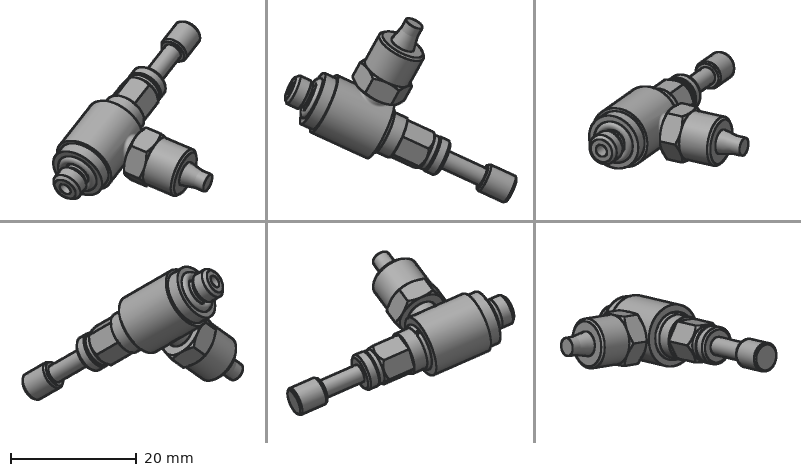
import cadquery as cq
import math

HEX_CORNER_RATIO = 2 / math.sqrt(3)

barrel_diameter = 10.0
barrel_length = 10.0
barrel_top = 3.55
barrel_bottom = barrel_top - barrel_length
journal_diameter = 7.0

branch_neck_diameter = 5.0
branch_neck_fillet = 0.35
nut_start = 5.9
nut_length = 3.55
nut_flats = 8.0
nut_chamfer = 0.4
sleeve_diameter = nut_flats
sleeve_end = 14.88
sleeve_chamfer = 0.4
nozzle_root_diameter = 4.0
nozzle_tip_diameter = 3.0
nozzle_taper_end = 17.35
overall_width = 24.0
branch_end = overall_width - barrel_diameter / 2
tip_chamfer_length = 0.25
tip_chamfer_depth = 0.05

total_length = 39.25
stem_bottom = -12.5
stem_top = stem_bottom + total_length
thread_diameter = 5.0
thread_chamfer = 0.55
thread_shoulder = -10.05
relief_diameter = 3.92
relief_end = -9.45
port_diameter = 2.0
flange_diameter = 9.0
flange_bottom = -8.5
seal_outer_diameter = 7.0
seal_radius = 0.7
hex_start = 6.65
hex_end = 11.8
hex_flats = 6.0
hex_chamfer = 0.55
gland_neck_diameter = 5.8
gland_start = 12.65
gland_end = 14.68
gland_diameter = hex_flats
gland_lower_chamfer = 0.25
gland_upper_chamfer = 0.35
spindle_diameter = 3.0
knob_length = 5.02
knob_start = stem_top - knob_length
knob_diameter = 4.65
knob_chamfer_depth = 0.25
knob_lower_chamfer = 0.4
knob_upper_chamfer = 0.27

snap_ring_radius = 0.4
snap_ring_center = barrel_top + snap_ring_radius
snap_ring_gap = 0.47


def revolve_about_y(points):
    """Solid of revolution about Y from (radius, y) points."""
    return cq.Workplane("XY").polyline(points).close().revolve(360, (0, 0), (0, 1))


def revolve_about_x(points):
    """Solid of revolution about X from (x, radius) points."""
    return cq.Workplane("XY").polyline(points).close().revolve(360, (0, 0), (1, 0))


def y_cylinder(diameter, start, end):
    """Cylinder about Y between two heights."""
    return cq.Workplane("XZ", origin=(0, start, 0)).circle(diameter / 2).extrude(start - end)


def x_cylinder(diameter, start, end):
    """Cylinder about X between two distances."""
    return cq.Workplane("YZ", origin=(start, 0, 0)).circle(diameter / 2).extrude(end - start)


def torus_about_y(ring_radius, tube_radius, height):
    """Ring of round cross-section about Y."""
    return (
        cq.Workplane("XY")
        .center(ring_radius, height)
        .circle(tube_radius)
        .revolve(360, (-ring_radius, 0), (-ring_radius, 1))
    )


def make_branch_nut():
    """Hexagon with both ends of its corners chamfered; two flats face +Z and -Z."""
    corner_diameter = nut_flats * HEX_CORNER_RATIO
    nut_end = nut_start + nut_length
    blank = (
        cq.Workplane("YZ", origin=(nut_start, 0, 0))
        .polygon(6, corner_diameter)
        .extrude(nut_length)
    )
    chamfer_envelope = revolve_about_x([
        (nut_start, 0),
        (nut_start, nut_flats / 2),
        (nut_start + nut_chamfer, corner_diameter / 2),
        (nut_end - nut_chamfer, corner_diameter / 2),
        (nut_end, nut_flats / 2),
        (nut_end, 0),
    ])
    return blank.intersect(chamfer_envelope)


def make_branch_outlet():
    """Sleeve, tapered nozzle and straight tip beyond the nut."""
    sleeve_radius = sleeve_diameter / 2
    tip_radius = nozzle_tip_diameter / 2
    return revolve_about_x([
        (nut_start, 0),
        (nut_start, branch_neck_diameter / 2),
        (nut_start + nut_length, sleeve_radius),
        (sleeve_end - sleeve_chamfer, sleeve_radius),
        (sleeve_end, sleeve_radius - sleeve_chamfer),
        (sleeve_end, nozzle_root_diameter / 2),
        (nozzle_taper_end, tip_radius),
        (branch_end - tip_chamfer_length, tip_radius),
        (branch_end, tip_radius - tip_chamfer_depth),
        (branch_end, 0),
    ])


def make_housing():
    barrel = y_cylinder(barrel_diameter, barrel_bottom, barrel_top)
    neck = x_cylinder(branch_neck_diameter, 0, nut_start)
    body = barrel.union(neck)
    box_half_width = 0.6 * branch_neck_diameter
    junction = cq.selectors.BoxSelector(
        (0, -box_half_width, -box_half_width),
        (barrel_diameter / 2 + branch_neck_fillet, box_half_width, box_half_width),
        boundingbox=True,
    )
    body = body.edges(junction).fillet(branch_neck_fillet)
    body = body.union(make_branch_nut()).union(make_branch_outlet())
    return body.cut(y_cylinder(journal_diameter, barrel_bottom, barrel_top))


def make_stem_core():
    """Turned profile from the threaded end up to the start of the hexagon."""
    thread_radius = thread_diameter / 2
    relief_radius = relief_diameter / 2
    return revolve_about_y([
        (0, stem_bottom),
        (thread_radius - thread_chamfer, stem_bottom),
        (thread_radius, stem_bottom + thread_chamfer),
        (thread_radius, thread_shoulder),
        (relief_radius, relief_end),
        (relief_radius, flange_bottom),
        (flange_diameter / 2, flange_bottom),
        (flange_diameter / 2, barrel_bottom),
        (journal_diameter / 2, barrel_bottom),
        (journal_diameter / 2, hex_start),
        (0, hex_start),
    ])


def make_stem_hexagon():
    """Hexagon with the corners of its +Y end chamfered; two flats face +Z and -Z."""
    corner_diameter = hex_flats * HEX_CORNER_RATIO
    blank = (
        cq.Workplane("XZ", origin=(0, hex_start, 0))
        .polygon(6, corner_diameter)
        .extrude(hex_start - hex_end)
    )
    chamfer_envelope = revolve_about_y([
        (0, hex_start),
        (corner_diameter / 2, hex_start),
        (corner_diameter / 2, hex_end - hex_chamfer),
        (gland_neck_diameter / 2, hex_end),
        (0, hex_end),
    ])
    return blank.intersect(chamfer_envelope)


def make_gland_and_knob():
    """Gland collar, spindle and knob above the hexagon."""
    gland_radius = gland_diameter / 2
    knob_radius = knob_diameter / 2
    return revolve_about_y([
        (0, hex_end),
        (gland_neck_diameter / 2, hex_end),
        (gland_neck_diameter / 2, gland_start),
        (gland_radius - gland_lower_chamfer, gland_start),
        (gland_radius, gland_start + gland_lower_chamfer),
        (gland_radius, gland_end - gland_upper_chamfer),
        (gland_radius - gland_upper_chamfer, gland_end),
        (spindle_diameter / 2, gland_end),
        (spindle_diameter / 2, knob_start),
        (knob_radius - knob_chamfer_depth, knob_start),
        (knob_radius, knob_start + knob_lower_chamfer),
        (knob_radius, stem_top - knob_upper_chamfer),
        (knob_radius - knob_chamfer_depth, stem_top),
        (0, stem_top),
    ])


def make_snap_ring():
    """Round-section ring seated on the journal, split on the +Z side."""
    ring = torus_about_y(journal_diameter / 2, snap_ring_radius, snap_ring_center)
    gap_length = 3 * snap_ring_radius
    gap = (
        cq.Workplane("XY", origin=(0, snap_ring_center, 0))
        .rect(snap_ring_gap, gap_length)
        .extrude(journal_diameter)
    )
    return ring.cut(gap)


def make_stem():
    seal_bead = torus_about_y(seal_outer_diameter / 2 - seal_radius, seal_radius, flange_bottom)
    stem = make_stem_core().union(seal_bead).union(make_stem_hexagon())
    stem = stem.union(make_gland_and_knob()).union(make_snap_ring())
    port = y_cylinder(port_diameter, stem_bottom, 0)
    return stem.cut(port)


housing = make_housing()
stem = make_stem()
result = cq.Compound.makeCompound([housing.solids().val(), stem.solids().val()])